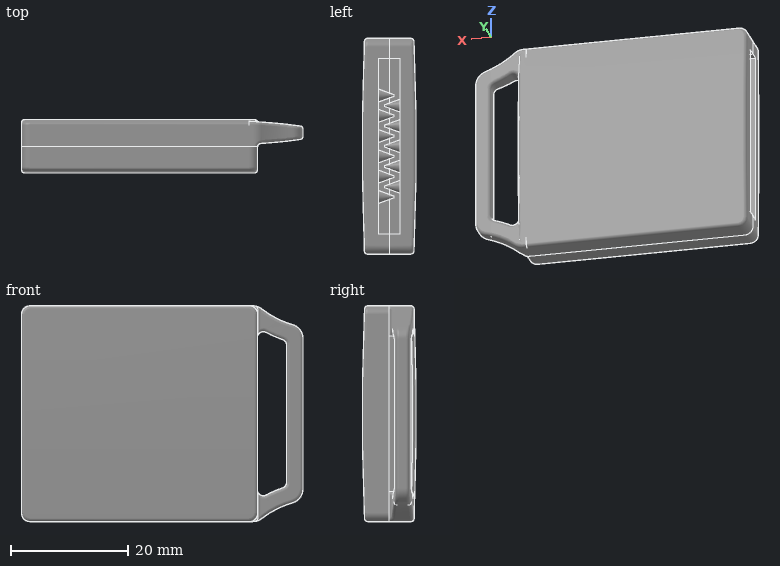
import cadquery as cq
import math

tolerance = 0.0005


overall_length = 48.1
case_length = 40.35
case_height = 36.9
case_depth = 9.25
edge_depth = 8.4
corner_radius = 1.5
edge_fillet = 0.6
half_height = case_height / 2
half_depth = case_depth / 2

slot_height = 30.05
slot_width = 3.7
slot_length = case_length - (case_height - slot_height) / 2

tooth_pitch = 3.45
tooth_length = 2.65
tooth_base_radius = 1.1
tooth_tip_radius = 0.15
rear_tooth_count = 6
front_tooth_count = 5
tooth_x = slot_length / 2

handle_start = 39.5
inner_x = case_length - corner_radius
handle_corner_radius = 2.5
shoulder_angle = math.radians(38)
sweep_end_angle = math.radians(16)
bar_width = 2.85
arm_width = 3.0
window_overlap = 0.05
window_left = case_length - window_overlap
window_corner_radius = 1.0

handle_mid_y = 2.3
root_half_thickness = 1.95
bar_half_thickness = 1.5
tip_half_thickness = 1.1
bar_x = 45.15
taper_bulge = 0.04
root_fillet = 0.6
root_pad_y = -0.95


def case_half(side):
    """Half of the case, on the +Y side (side = 1) or the -Y side (side = -1)."""
    block = (
        cq.Workplane("YZ")
        .moveTo(0, -half_height)
        .lineTo(side * edge_depth / 2, -half_height)
        .threePointArc((side * half_depth, 0), (side * edge_depth / 2, half_height))
        .lineTo(0, half_height)
        .close()
        .extrude(case_length)
        .edges("|Y")
        .fillet(corner_radius)
    )
    outer_face = ">Y" if side > 0 else "<Y"
    block = block.faces(outer_face).edges().fillet(edge_fillet)
    slot = cq.Workplane("XY").box(
        slot_length, slot_width, slot_height, centered=(False, True, True)
    )
    return block.cut(slot)


def tooth_row(side, count):
    """A row of blunt cones standing on the slot wall of one half and pointing past the parting plane."""
    base_y = side * slot_width / 2
    direction = cq.Vector(0, -side, 0)
    row = cq.Workplane("XY")
    for index in range(count):
        z = (index - (count - 1) / 2) * tooth_pitch
        row = row.add(
            cq.Solid.makeCone(
                tooth_base_radius, tooth_tip_radius, tooth_length, cq.Vector(tooth_x, base_y, z), direction
            )
        )
    return row


def point_on_arc(center, radius, angle):
    """Point on an arc, with the angle measured from +Z towards +X."""
    return (center[0] + radius * math.sin(angle), center[1] + radius * math.cos(angle))


shoulder_center = (handle_start, half_height - handle_corner_radius)
shoulder_end = point_on_arc(shoulder_center, handle_corner_radius, shoulder_angle)
corner_center_x = overall_length - handle_corner_radius
sweep_end_x = corner_center_x + handle_corner_radius * math.sin(sweep_end_angle)
sweep_radius = (sweep_end_x - shoulder_end[0]) / (math.sin(shoulder_angle) - math.sin(sweep_end_angle))
sweep_center = point_on_arc(shoulder_end, sweep_radius, shoulder_angle)
sweep_end = point_on_arc(sweep_center, -sweep_radius, sweep_end_angle)
corner_center = (corner_center_x, sweep_end[1] - handle_corner_radius * math.cos(sweep_end_angle))


def mirrored(point):
    return (point[0], -point[1])


def handle_outline():
    """Solid with the handle's XZ outline, spanning the whole depth of the case."""
    mid_shoulder = point_on_arc(shoulder_center, handle_corner_radius, shoulder_angle / 2)
    mid_sweep = point_on_arc(sweep_center, -sweep_radius, (shoulder_angle + sweep_end_angle) / 2)
    mid_corner = point_on_arc(corner_center, handle_corner_radius, (math.pi / 2 + sweep_end_angle) / 2)
    shoulder_start = (handle_start, half_height)
    corner_end = (overall_length, corner_center[1])
    return (
        cq.Workplane("XZ")
        .moveTo(inner_x, half_height)
        .lineTo(*shoulder_start)
        .threePointArc(mid_shoulder, shoulder_end)
        .threePointArc(mid_sweep, sweep_end)
        .threePointArc(mid_corner, corner_end)
        .lineTo(*mirrored(corner_end))
        .threePointArc(mirrored(mid_corner), mirrored(sweep_end))
        .threePointArc(mirrored(mid_sweep), mirrored(shoulder_end))
        .threePointArc(mirrored(mid_shoulder), mirrored(shoulder_start))
        .lineTo(inner_x, -half_height)
        .close()
        .extrude(half_depth, both=True)
    )


def handle_window():
    """Opening between the case and the handle bar, its ends an arm width inside the sweep."""
    window_radius = sweep_radius + arm_width
    right_x = overall_length - bar_width

    def sweep_point(x):
        offset = sweep_center[0] - x
        return (x, sweep_center[1] - math.sqrt(window_radius**2 - offset**2))

    top_left = sweep_point(window_left)
    top_middle = sweep_point((window_left + right_x) / 2)
    top_right = sweep_point(right_x)
    return (
        cq.Workplane("XZ")
        .moveTo(*top_left)
        .threePointArc(top_middle, top_right)
        .lineTo(*mirrored(top_right))
        .threePointArc(mirrored(top_middle), mirrored(top_left))
        .close()
        .extrude(half_depth, both=True)
        .edges("|Y")
        .fillet(window_corner_radius)
    )


def handle_thickness():
    """Solid with the handle's tapered XY section."""
    middle_x = (inner_x + bar_x) / 2
    middle_half_thickness = (root_half_thickness + bar_half_thickness) / 2 + taper_bulge
    taper = (
        cq.Workplane("XY")
        .moveTo(inner_x, handle_mid_y + root_half_thickness)
        .threePointArc(
            (middle_x, handle_mid_y + middle_half_thickness), (bar_x, handle_mid_y + bar_half_thickness)
        )
        .lineTo(overall_length, handle_mid_y + tip_half_thickness)
        .lineTo(overall_length, handle_mid_y - tip_half_thickness)
        .lineTo(bar_x, handle_mid_y - bar_half_thickness)
        .threePointArc(
            (middle_x, handle_mid_y - middle_half_thickness), (inner_x, handle_mid_y - root_half_thickness)
        )
        .close()
        .extrude(half_height, both=True)
    )
    root_pad = (
        cq.Workplane("XY")
        .moveTo(inner_x, root_pad_y)
        .lineTo(case_length, root_pad_y)
        .lineTo(case_length, handle_mid_y)
        .lineTo(inner_x, handle_mid_y)
        .close()
        .extrude(half_height, both=True)
    )
    root_corner = cq.selectors.BoxSelector(
        (case_length - tolerance, 0, -half_height), (case_length + tolerance, handle_mid_y, half_height)
    )
    return taper.union(root_pad).edges("|Z").edges(root_corner).fillet(root_fillet)


def is_rim(edge):
    """True for the edges round the handle's outline and window, on its front and back faces."""
    box = edge.BoundingBox()
    runs_across = box.ylen > root_half_thickness
    at_fixed_x = box.xlen < tolerance
    is_inner_end = at_fixed_x and abs(box.xmin - inner_x) < tolerance
    is_taper_seam = at_fixed_x and abs(box.xmin - bar_x) < tolerance
    return not (runs_across or is_inner_end or is_taper_seam)


def handle():
    """Handle with rounded rims, its inner end buried in the case."""
    bar = handle_outline().intersect(handle_thickness()).cut(handle_window())
    rims = bar.edges().filter(is_rim)
    behind_parting_plane = cq.Workplane("XY").box(
        overall_length, half_depth, case_height, centered=(False, False, True)
    )
    return rims.fillet(edge_fillet).intersect(behind_parting_plane)


rear_half = case_half(1).union(tooth_row(1, rear_tooth_count)).union(handle())
front_half = case_half(-1).union(tooth_row(-1, front_tooth_count))
result = cq.Compound.makeCompound([rear_half.val(), front_half.val()])